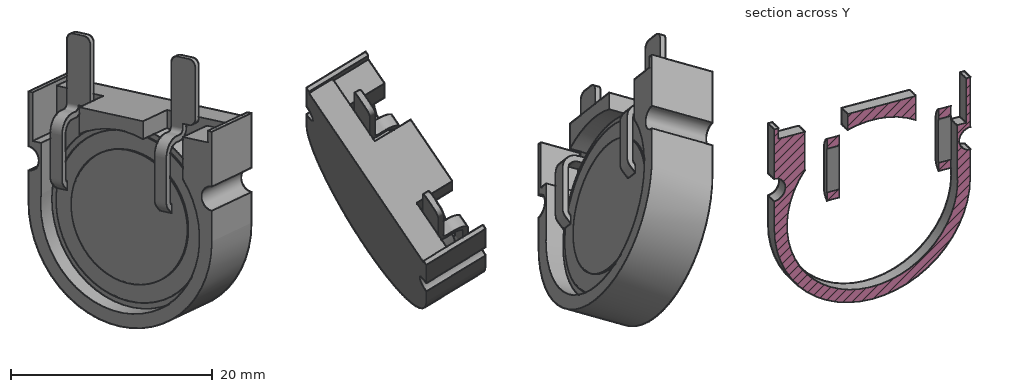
import cadquery as cq
import math


body_width = 22.0
body_depth = 7.0
body_radius = body_width / 2
body_top = 22.0
ear_top = 22.47
ear_thickness = 0.5
notch_radius = 1.26
notch_center_z = 15.48
notch_depth = 1.25

well_radius = 9.52
well_floor = 1.97
rim_radius = 8.9
rim_face = 1.8
contact_radius = 6.97
contact_face = 1.6
center_z = body_radius

pocket_floor = 4.2
bridge_left = -4.9
bridge_right = 2.75
left_shelf_z = 17.4
left_pocket_side = -9.47
right_block_left = 7.53
right_block_top = 21.26

sheet = 0.65
terminal_top = 28.1
strip_width = 1.4
tab_corner_radius = 0.75
neck_z = 20.7
left_terminal_x = -8.82
left_tab_width = 2.8
left_tab_bottom = neck_z
right_terminal_x = 3.68
right_tab_width = 2.9
right_tab_bottom = 21.18
tab_front = pocket_floor - sheet
strip_front = 0.67
upper_bend_radius = 0.5
shoulder_radius = 1.8
foot_bend_z = 13.76
foot_bend_radius = 1.12
foot_angle = math.radians(45)


def block(x_min, x_max, y_min, y_max, z_min, z_max):
    size = (x_max - x_min, y_max - y_min, z_max - z_min)
    return cq.Workplane("XY").box(*size, centered=False).translate((x_min, y_min, z_min))


def y_cylinder(radius, y_min, y_max, x=0, z=center_z):
    profile = cq.Workplane("XZ", origin=(x, y_min, z)).circle(radius)
    return profile.extrude(y_min - y_max)


def make_blank():
    """Solid body with two upright ears and a half-round notch in each side."""
    blank = y_cylinder(body_radius, 0, body_depth)
    blank = blank.union(block(-body_radius, body_radius, 0, body_depth, center_z, body_top))
    for side in (-1, 1):
        outer, inner = side * body_radius, side * (body_radius - ear_thickness)
        ear = block(min(outer, inner), max(outer, inner), 0, body_depth, center_z, ear_top)
        notch_x = side * (body_radius + notch_radius - notch_depth)
        notch = y_cylinder(notch_radius, 0, body_depth, notch_x, notch_center_z)
        blank = blank.union(ear).cut(notch)
    return blank


def make_pockets():
    """Clearance around both terminals, stopping at the round wall under the cell seat."""
    inside_ear = body_radius - ear_thickness
    pockets = block(left_pocket_side, bridge_left, 0, pocket_floor, center_z, ear_top)
    pockets = pockets.union(block(-inside_ear, bridge_left, 0, pocket_floor, left_shelf_z, ear_top))
    pockets = pockets.union(block(bridge_right, right_block_left, 0, pocket_floor, center_z, ear_top))
    pockets = pockets.union(block(bridge_right, inside_ear, 0, pocket_floor, right_block_top, ear_top))
    return pockets.cut(y_cylinder(well_radius, 0, pocket_floor))


def make_strip(x):
    """Strip running forward from the tab, down over the seat and back to the contact face."""
    shoulder_z = neck_z - upper_bend_radius
    inner_shoulder = shoulder_radius - sheet
    strip_back = strip_front + sheet
    diagonal = math.sqrt(0.5)
    inner_foot = foot_bend_radius - sheet
    foot_center_y = strip_front + foot_bend_radius

    def foot_point(radius, angle):
        return (
            foot_center_y - radius * math.cos(angle),
            foot_bend_z - radius * math.sin(angle),
        )

    def foot_tip(radius):
        y, z = foot_point(radius, foot_angle)
        return contact_face, z - (contact_face - y) / math.tan(foot_angle)

    profile = (
        cq.Workplane("YZ", origin=(x, 0, 0))
        .moveTo(pocket_floor, neck_z)
        .lineTo(tab_front, neck_z)
        .radiusArc((tab_front - upper_bend_radius, shoulder_z), upper_bend_radius)
        .lineTo(strip_front + shoulder_radius, shoulder_z)
        .threePointArc(
            (
                strip_front + shoulder_radius * (1 - diagonal),
                shoulder_z - shoulder_radius * (1 - diagonal),
            ),
            (strip_front, shoulder_z - shoulder_radius),
        )
        .lineTo(strip_front, foot_bend_z)
        .threePointArc(
            foot_point(foot_bend_radius, foot_angle / 2),
            foot_point(foot_bend_radius, foot_angle),
        )
        .lineTo(*foot_tip(foot_bend_radius))
        .lineTo(*foot_tip(inner_foot))
        .lineTo(*foot_point(inner_foot, foot_angle))
        .threePointArc(
            foot_point(inner_foot, foot_angle / 2),
            (strip_back, foot_bend_z),
        )
        .lineTo(strip_back, shoulder_z - shoulder_radius)
        .threePointArc(
            (
                strip_front + shoulder_radius - inner_shoulder * diagonal,
                shoulder_z - shoulder_radius + inner_shoulder * diagonal,
            ),
            (strip_front + shoulder_radius, shoulder_z - sheet),
        )
        .lineTo(tab_front - upper_bend_radius, shoulder_z - sheet)
        .radiusArc((pocket_floor, neck_z), -(upper_bend_radius + sheet))
        .close()
    )
    return profile.extrude(strip_width)


def make_terminal(x, tab_width, tab_bottom):
    """Flat solder tab with rounded free corners, carrying the bent strip along its left side."""
    tab = block(x, x + tab_width, tab_front, pocket_floor, tab_bottom, terminal_top)
    tab = tab.edges("|Y and (>Z or >X)").fillet(tab_corner_radius)
    neck = block(x, x + strip_width, tab_front, pocket_floor, neck_z, tab_bottom + sheet)
    return tab.union(neck).union(make_strip(x))


body = make_blank().cut(make_pockets()).cut(y_cylinder(well_radius, 0, well_floor))
rim = y_cylinder(rim_radius, rim_face, pocket_floor)
contact = y_cylinder(contact_radius, contact_face, pocket_floor)
left_terminal = make_terminal(left_terminal_x, left_tab_width, left_tab_bottom)
right_terminal = make_terminal(right_terminal_x, right_tab_width, right_tab_bottom)

result = body.union(rim).union(contact).union(left_terminal).union(right_terminal)